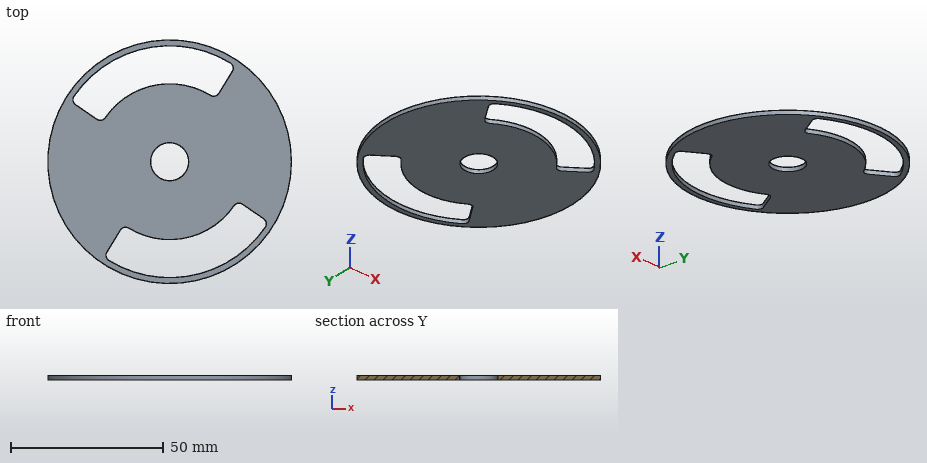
import cadquery as cq
import math

disc_diameter = 80.0
disc_thickness = 1.58
bore_diameter = 12.4

window_count = 2
rim_width = 2.0
window_outer_radius = disc_diameter / 2 - rim_width
window_inner_radius = 25.6
window_corner_radius = 2.0
window_center_angle = 102.0
corner_half_angle = 43.55


def polar_point(radius, angle):
    """Point at a radius and an angle in degrees from +X, about the disc centre."""
    return (
        radius * math.cos(math.radians(angle)),
        radius * math.sin(math.radians(angle)),
    )


def make_disc():
    """Flat round plate with a central bore."""
    return (
        cq.Workplane("XY")
        .circle(disc_diameter / 2)
        .circle(bore_diameter / 2)
        .extrude(disc_thickness)
    )


def make_window(center_angle):
    """Cutter for one window: an annular sector grown outwards by the corner radius.

    Growing the sector rounds its four corners and leaves each straight end
    parallel to a radius, one corner radius beyond it.
    """
    core_inner_radius = window_inner_radius + window_corner_radius
    core_outer_radius = window_outer_radius - window_corner_radius
    start_angle = center_angle - corner_half_angle
    end_angle = center_angle + corner_half_angle
    return (
        cq.Workplane("XY")
        .moveTo(*polar_point(core_inner_radius, start_angle))
        .lineTo(*polar_point(core_outer_radius, start_angle))
        .threePointArc(
            polar_point(core_outer_radius, center_angle),
            polar_point(core_outer_radius, end_angle),
        )
        .lineTo(*polar_point(core_inner_radius, end_angle))
        .threePointArc(
            polar_point(core_inner_radius, center_angle),
            polar_point(core_inner_radius, start_angle),
        )
        .close()
        .offset2D(window_corner_radius, "arc")
        .extrude(disc_thickness)
    )


result = make_disc()
for index in range(window_count):
    result = result.cut(make_window(window_center_angle + index * 360.0 / window_count))